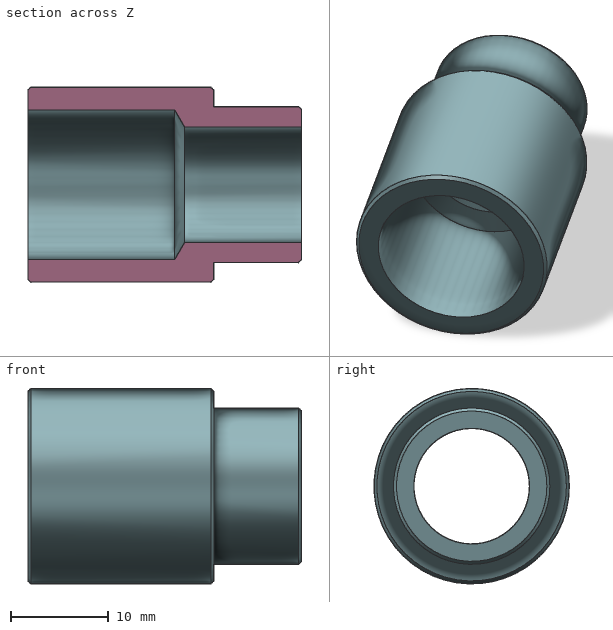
import cadquery as cq
import math

length = 28.0
body_length = 19.0
body_radius = 20.0 / 2
neck_radius = 16.0 / 2
edge_chamfer = 0.3

socket_radius = 15.3 / 2
socket_depth = 15.0
bore_radius = 11.8 / 2
cone_half_angle = 60.0
cone_length = (socket_radius - bore_radius) / math.tan(math.radians(cone_half_angle))


def turned_solid(profile):
    """Revolve a closed profile of (axial, radial) points about the X axis."""
    axis_start = (0, 0, 0)
    axis_end = (1, 0, 0)
    return cq.Workplane("XY").polyline(profile).close().revolve(360, axis_start, axis_end)


def stepped_cylinder():
    """Wide body followed by a narrower neck, outer edges chamfered."""
    return turned_solid([
        (0, 0),
        (0, body_radius - edge_chamfer),
        (edge_chamfer, body_radius),
        (body_length - edge_chamfer, body_radius),
        (body_length, body_radius - edge_chamfer),
        (body_length, neck_radius),
        (length - edge_chamfer, neck_radius),
        (length, neck_radius - edge_chamfer),
        (length, 0),
    ])


def stepped_bore():
    """Socket, conical transition and through bore as one removable volume."""
    return turned_solid([
        (0, 0),
        (0, socket_radius),
        (socket_depth, socket_radius),
        (socket_depth + cone_length, bore_radius),
        (length, bore_radius),
        (length, 0),
    ])


result = stepped_cylinder().cut(stepped_bore())